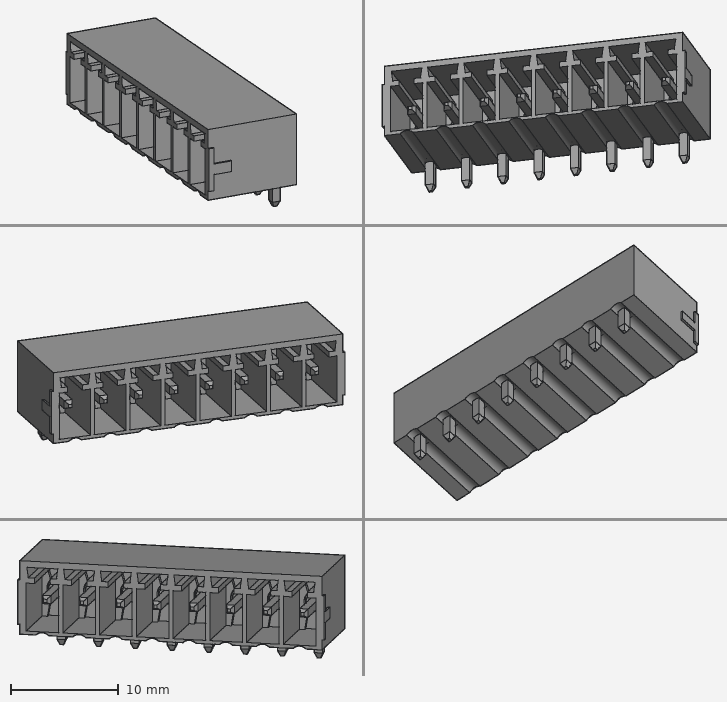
import cadquery as cq

pole_count = 8
pitch = 3.5
pole_xs = [(i - (pole_count - 1) / 2) * pitch for i in range(pole_count)]

housing_length = 28.8
housing_depth = 9.2
housing_height = 7.0
pin_axis_z = 3.02

cavity_depth = 7.0
cavity_width = 3.1
cavity_floor_z = 0.34
cavity_top_z = 4.9

neck_width = 1.48
shelf_top_z = 5.42
keyway_bottom_width = 2.68
keyway_top_width = 2.94
keyway_top_z = 6.4

pad_thickness = 0.5
channel_end_width = 2.08
channel_waist_width = 1.46
waist_half_height = 0.8
clearance_diameter = 2.2
pin_boss_diameter = 1.8

groove_diameter = 1.8
groove_height = 0.25

ear_thickness = 0.2
ear_centre_z = 3.05
ear_bar_height = 4.22
ear_bar_depth = 0.52
ear_stem_height = 1.05
ear_stem_depth = 2.35

pin_width = 0.8
pin_tip_width = 0.32
pin_taper_length = 0.55
pin_front_y = 1.2
tail_y = housing_depth - 1.2
tail_end_z = -2.6


def box(x_range, y_range, z_range):
    """Axis-aligned box given by its (low, high) limits."""
    lows, highs = zip(x_range, y_range, z_range)
    sizes = [high - low for low, high in zip(lows, highs)]
    return cq.Workplane("XY").box(*sizes, centered=False).translate(lows)


def extrude_back(sketch_points, y_start, y_end):
    """Prism with an XZ outline, running from y_start to y_end."""
    plane = cq.Workplane("XZ", origin=(0, y_start, 0))
    return plane.polyline(sketch_points).close().extrude(y_start - y_end)


def cylinder_back(diameter, centre_z, y_start, y_end):
    """Cylinder along Y, on X = 0, running from y_start to y_end."""
    plane = cq.Workplane("XZ", origin=(0, y_start, centre_z))
    return plane.circle(diameter / 2).extrude(y_start - y_end)


def mirrored_outline(right_side):
    """Close an outline symmetric about X = 0 from its right-hand points."""
    left_side = [(-x, z) for x, z in reversed(right_side)]
    return right_side + left_side


def cavity():
    """Space for one plug pole, including its keyway."""
    outline = mirrored_outline([
        (cavity_width / 2, cavity_floor_z),
        (cavity_width / 2, cavity_top_z),
        (neck_width / 2, cavity_top_z),
        (neck_width / 2, shelf_top_z),
        (keyway_bottom_width / 2, shelf_top_z),
        (keyway_top_width / 2, keyway_top_z),
    ])
    return extrude_back(outline, 0, cavity_depth)


def back_wall_relief():
    """Pads and round pin boss standing on the back wall of one cavity."""
    pad_front_y = cavity_depth - pad_thickness
    x_range = (-cavity_width / 2, cavity_width / 2)
    pads = box(x_range, (pad_front_y, cavity_depth), (cavity_floor_z, cavity_top_z))
    channel = extrude_back(
        mirrored_outline([
            (channel_end_width / 2, cavity_floor_z),
            (channel_waist_width / 2, pin_axis_z - waist_half_height),
            (channel_waist_width / 2, pin_axis_z + waist_half_height),
            (channel_end_width / 2, cavity_top_z),
        ]),
        pad_front_y,
        cavity_depth,
    )
    clearance = cylinder_back(clearance_diameter, pin_axis_z, pad_front_y, cavity_depth)
    boss = cylinder_back(pin_boss_diameter, pin_axis_z, pad_front_y, cavity_depth)
    return pads.cut(channel).cut(clearance).union(boss)


def underside_groove():
    """Round-topped groove running the full depth of the housing."""
    axis_z = groove_height - groove_diameter / 2
    return cylinder_back(groove_diameter, axis_z, 0, housing_depth)


def ears():
    """T-shaped ears on both ends, reaching past the end faces."""
    half_span = housing_length / 2 + ear_thickness

    def slab(depth, height):
        z_range = (ear_centre_z - height / 2, ear_centre_z + height / 2)
        return box((-half_span, half_span), (0, depth), z_range)

    return slab(ear_bar_depth, ear_bar_height).union(slab(ear_stem_depth, ear_stem_height))


def pin():
    """Contact pin bent square from the cavity down to its solder tail, both ends tapered."""
    half = pin_width / 2
    taper_start_y = pin_front_y + pin_taper_length
    taper_start_z = tail_end_z + pin_taper_length
    side = (-half, half)
    arm_z = (pin_axis_z - half, pin_axis_z + half)
    arm = box(side, (taper_start_y, tail_y + half), arm_z)
    tail = box(side, (tail_y - half, tail_y + half), (taper_start_z, pin_axis_z + half))

    def taper(plane):
        base = plane.rect(pin_width, pin_width).workplane(offset=pin_taper_length)
        return base.rect(pin_tip_width, pin_tip_width).loft()

    arm_tip = taper(cq.Workplane("XZ", origin=(0, taper_start_y, pin_axis_z)))
    tail_plane = cq.Plane(origin=(0, tail_y, taper_start_z), xDir=(1, 0, 0), normal=(0, 0, -1))
    tail_tip = taper(cq.Workplane(tail_plane))
    return arm.union(tail).union(arm_tip).union(tail_tip)


def housing(contact_pins):
    """Eight-pole housing with a matching hole for every contact pin."""
    half_length = housing_length / 2
    body = box((-half_length, half_length), (0, housing_depth), (0, housing_height))
    body = body.union(ears())
    pole_space = cavity().cut(back_wall_relief()).union(underside_groove())
    for x in pole_xs:
        body = body.cut(pole_space.translate((x, 0, 0)))
    for contact_pin in contact_pins:
        body = body.cut(contact_pin)
    return body


pins = [pin().translate((x, 0, 0)) for x in pole_xs]
shell = housing(pins)

housing_solid = shell.solids().val()
pin_solids = [contact_pin.solids().val() for contact_pin in pins]
result = cq.Compound.makeCompound([housing_solid, *pin_solids])